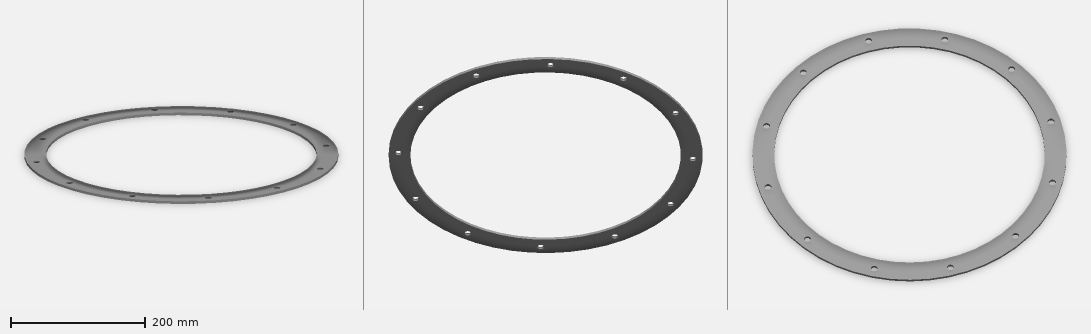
import cadquery as cq

outer_diameter = 467.0
inner_diameter = 402.5
thickness = 4.0

hole_diameter = 10.0
hole_count = 12
bolt_circle_diameter = 438.0


def make_ring():
    """Flat annular plate resting on Z = 0."""
    return (
        cq.Workplane("XY")
        .circle(outer_diameter / 2)
        .circle(inner_diameter / 2)
        .extrude(thickness)
    )


def drill_bolt_holes(ring):
    """Cut the through holes, the first one on the +X axis."""
    return (
        ring.faces(">Z")
        .workplane(origin=(0, 0, thickness))
        .polarArray(bolt_circle_diameter / 2, 0, 360, hole_count)
        .hole(hole_diameter)
    )


result = drill_bolt_holes(make_ring())